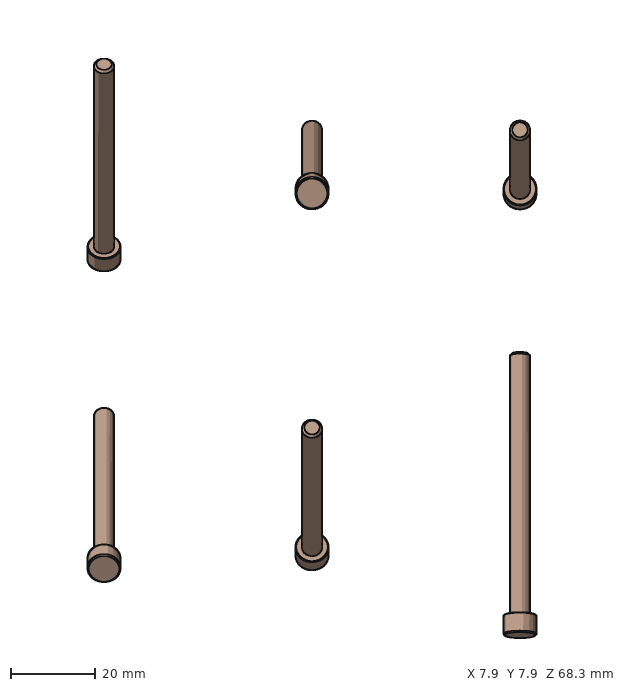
import cadquery as cq

total_length = 68.3
head_diameter = 7.9
shank_diameter = 4.85
head_height = shank_diameter
tip_chamfer = 0.6
head_bottom_chamfer = 0.35
head_top_chamfer = 0.2


def make_head():
    """Cylindrical head with both rims bevelled."""
    head = cq.Workplane("XY").circle(head_diameter / 2).extrude(head_height)
    head = head.faces("<Z").chamfer(head_bottom_chamfer)
    return head.faces(">Z").chamfer(head_top_chamfer)


def make_shank():
    """Plain round shank with a bevelled tip."""
    shank_length = total_length - head_height
    shank = cq.Workplane("XY").workplane(offset=head_height)
    shank = shank.circle(shank_diameter / 2).extrude(shank_length)
    return shank.faces(">Z").chamfer(tip_chamfer)


result = make_head().union(make_shank()).translate((0, 0, -total_length / 2))